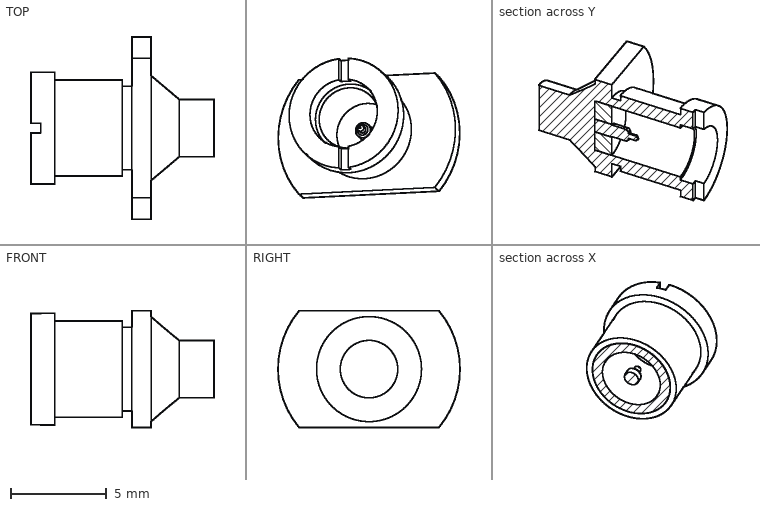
import cadquery as cq

total_length = 9.55
collar_length = 1.25
barrel_end = 4.77
flange_start = 5.26
flange_thickness = 1.0
flange_end = flange_start + flange_thickness
cone_end = 7.74

collar_radius = 2.92
barrel_radius = 2.51
neck_radius = 2.19
cone_radius = 2.74
tail_radius = 1.5

flange_radius = 9.5 / 2
flange_height = 6.1

mouth_radius = 1.805
mouth_depth = collar_length
bore_radius = 1.6
slot_width = 0.51
slot_depth = 0.51

insulator_start = flange_start
insulator_end = flange_end

shank_radius = 0.4
shank_chamfer = 0.11
shank_start = 4.3
tip_radius = 0.17
tip_length = 0.57
tip_chamfer = 0.13


def cylinder(radius, start, end):
    """Solid cylinder along X between two stations."""
    return cq.Workplane("YZ").workplane(offset=start).circle(radius).extrude(end - start)


def make_flange():
    flats = cq.Workplane("XY").box(
        2 * total_length, 2 * flange_radius, flange_height
    )
    return cylinder(flange_radius, flange_start, flange_end).intersect(flats)


def make_outer_body():
    profile = [
        (0, 0),
        (0, collar_radius),
        (collar_length, collar_radius),
        (collar_length, barrel_radius),
        (barrel_end, barrel_radius),
        (barrel_end, neck_radius),
        (flange_start, neck_radius),
        (flange_end, cone_radius),
        (cone_end, tail_radius),
        (total_length, tail_radius),
        (total_length, 0),
    ]
    return cq.Workplane("XY").polyline(profile).close().revolve(360, (0, 0, 0), (1, 0, 0))


def make_slot():
    return cq.Workplane("XY").box(
        slot_depth, slot_width, 2 * collar_radius, centered=(False, True, True)
    )


def make_housing():
    mouth = cylinder(mouth_radius, 0, mouth_depth)
    bore = cylinder(bore_radius, 0, insulator_end)
    return make_outer_body().union(make_flange()).cut(mouth).cut(bore).cut(make_slot())


def make_insulator():
    pin_hole = cylinder(shank_radius, insulator_start, insulator_end)
    return cylinder(bore_radius, insulator_start, insulator_end).cut(pin_hole)


def make_contact_pin():
    shank = cylinder(shank_radius, shank_start, insulator_end).faces("<X").chamfer(shank_chamfer)
    tip = cylinder(tip_radius, shank_start - tip_length, shank_start).faces("<X").chamfer(tip_chamfer)
    return shank.union(tip)


housing = make_housing()
insulator = make_insulator()
contact_pin = make_contact_pin()

result = cq.Compound.makeCompound([housing.val(), insulator.val(), contact_pin.val()])